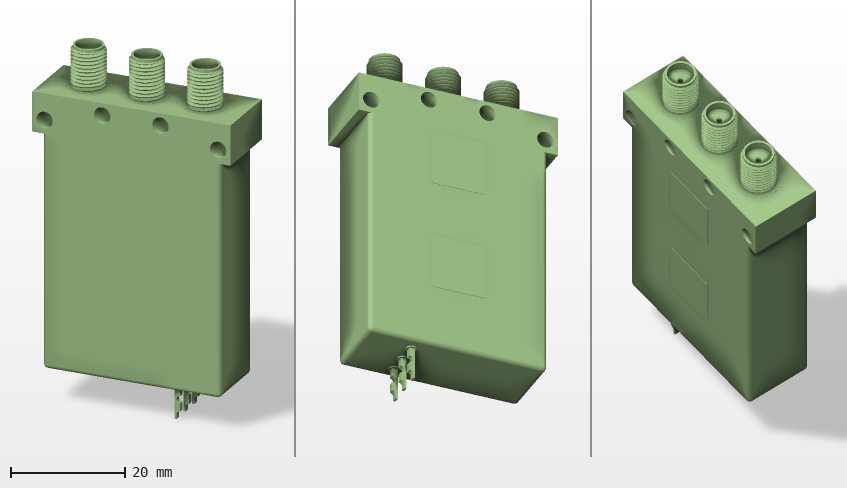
import cadquery as cq

HEADER_WIDTH = 38.1
DEPTH = 13.25
HEADER_HEIGHT = 7.6
CAN_WIDTH = 34.1
CAN_HEIGHT = 44.5
CAN_EDGE_RADIUS = 0.8
TOTAL_HEIGHT = 66.25

HEADER_TOP = HEADER_HEIGHT
CAN_BOTTOM = -CAN_HEIGHT

HOLE_DIAMETER = 3.1
OUTER_HOLE_SPACING = 33.3
OUTER_HOLE_DROP = 5.05
INNER_HOLE_DROP = 2.3

CONNECTOR_PITCH = 11.2
CONNECTOR_HEIGHT = 7.8
FLANGE_RADIUS = 3.85
FLANGE_HEIGHT = 0.03
THREAD_RADIUS = 3.2
THREAD_ROOT_RADIUS = 2.7
THREAD_CREST = 0.1
GROOVE_OVERSHOOT = 0.05
THREAD_CHAMFER = 0.3
LEAD_RADIUS = 2.8
LEAD_LENGTH = 0.5
THREAD_LENGTH = CONNECTOR_HEIGHT - LEAD_LENGTH
THREAD_TURNS = 10.4
THREAD_PITCH = THREAD_LENGTH / THREAD_TURNS
BORE_RADIUS = 2.4
BORE_DEPTH = 1.7
INSULATOR_RADIUS = 2.1
INSULATOR_DEPTH = 1.9
CONTACT_HOLE_RADIUS = 0.45
CONTACT_CHAMFER = 0.2
CONTACT_HOLE_DEPTH = 2.0

TERMINAL_X = 7.75
TERMINAL_PITCH = 3.8
TERMINAL_LENGTH = TOTAL_HEIGHT - CONNECTOR_HEIGHT - HEADER_HEIGHT - CAN_HEIGHT
TERMINAL_WIDTH = 1.05
TIP_WIDTH = 0.4
NOTCH_RADIUS = TERMINAL_WIDTH - TIP_WIDTH
NOTCH_DROP = 2.5
SHOULDER_DROP = 4.8
COLLAR_RADIUS = 1.0
COLLAR_HEIGHT = 0.25

PAD_SIZE = 10.35
PAD_THICKNESS = 0.05
PAD_PITCH = 21.2
UPPER_PAD_DROP = 1.2


def thread_groove():
    """Helical V-groove that runs past both ends of the thread."""
    run = THREAD_LENGTH + 2 * THREAD_PITCH
    half_opening = (THREAD_PITCH - THREAD_CREST) / 2
    half_outer = half_opening * (1 + GROOVE_OVERSHOOT / (THREAD_RADIUS - THREAD_ROOT_RADIUS))
    outer_radius = THREAD_RADIUS + GROOVE_OVERSHOOT
    path = cq.Workplane(cq.Wire.makeHelix(THREAD_PITCH, run, THREAD_ROOT_RADIUS))
    return (
        cq.Workplane("XZ")
        .moveTo(THREAD_ROOT_RADIUS, 0)
        .lineTo(outer_radius, half_outer)
        .lineTo(outer_radius, -half_outer)
        .close()
        .sweep(path, isFrenet=True)
        .translate((0, 0, -THREAD_PITCH))
    )


def make_connector():
    """Threaded barrel with its flange, standing on the plane Z = 0."""
    rod = cq.Workplane("XY").circle(THREAD_RADIUS).extrude(THREAD_LENGTH)
    envelope = rod.faces(">Z").chamfer(THREAD_CHAMFER)
    thread = rod.cut(thread_groove()).intersect(envelope)
    flange = cq.Workplane("XY").circle(FLANGE_RADIUS).extrude(FLANGE_HEIGHT)
    lead = cq.Workplane("XY").workplane(offset=THREAD_LENGTH).circle(LEAD_RADIUS).extrude(LEAD_LENGTH)
    barrel = thread.union(lead).union(flange)

    insulator_z = CONNECTOR_HEIGHT - INSULATOR_DEPTH
    contact_bottom = insulator_z - CONTACT_HOLE_DEPTH
    socket = (
        cq.Workplane("XZ")
        .moveTo(0, CONNECTOR_HEIGHT)
        .lineTo(BORE_RADIUS, CONNECTOR_HEIGHT)
        .lineTo(BORE_RADIUS, CONNECTOR_HEIGHT - BORE_DEPTH)
        .lineTo(INSULATOR_RADIUS, insulator_z)
        .lineTo(CONTACT_HOLE_RADIUS + CONTACT_CHAMFER, insulator_z)
        .lineTo(CONTACT_HOLE_RADIUS, insulator_z - CONTACT_CHAMFER)
        .lineTo(CONTACT_HOLE_RADIUS, contact_bottom)
        .lineTo(0, contact_bottom)
        .close()
        .revolve(360, (0, 0, 0), (0, 1, 0))
    )
    return barrel.cut(socket)


def make_header():
    """Mounting block with four cross holes and three connectors on top."""
    block = cq.Workplane("XY").box(HEADER_WIDTH, DEPTH, HEADER_HEIGHT, centered=(True, True, False))
    hole_centers = []
    for side in (-1, 1):
        hole_centers.append((side * OUTER_HOLE_SPACING / 2, HEADER_TOP - OUTER_HOLE_DROP))
        hole_centers.append((side * CONNECTOR_PITCH / 2, HEADER_TOP - INNER_HOLE_DROP))
    holes = (
        cq.Workplane("XZ")
        .pushPoints(hole_centers)
        .circle(HOLE_DIAMETER / 2)
        .extrude(DEPTH / 2, both=True)
    )
    header = block.cut(holes)
    connector = make_connector()
    for position in (-1, 0, 1):
        header = header.union(connector.translate((position * CONNECTOR_PITCH, 0, HEADER_TOP)))
    return header


def make_terminal():
    """Square solder lug and collar, with a round notch and a narrow tip, hanging below Z = 0."""
    half = TERMINAL_WIDTH / 2
    tip_x = TIP_WIDTH - half
    lug = (
        cq.Workplane("XZ")
        .moveTo(-half, 0)
        .lineTo(half, 0)
        .lineTo(half, -NOTCH_DROP + NOTCH_RADIUS)
        .threePointArc((tip_x, -NOTCH_DROP), (half, -NOTCH_DROP - NOTCH_RADIUS))
        .lineTo(half, -SHOULDER_DROP)
        .radiusArc((tip_x, -SHOULDER_DROP - NOTCH_RADIUS), -NOTCH_RADIUS)
        .lineTo(tip_x, -TERMINAL_LENGTH)
        .lineTo(-half, -TERMINAL_LENGTH)
        .close()
        .extrude(half, both=True)
    )
    collar = cq.Workplane("XY").circle(COLLAR_RADIUS).extrude(-COLLAR_HEIGHT)
    return lug.union(collar)


def make_can():
    """Rounded can with the terminals under it and the pads on its back."""
    can = (
        cq.Workplane("XY")
        .box(CAN_WIDTH, DEPTH, CAN_HEIGHT, centered=(True, True, False))
        .translate((0, 0, CAN_BOTTOM))
        .edges("|Z or <Z")
        .fillet(CAN_EDGE_RADIUS)
    )
    terminal = make_terminal()
    for row in (-1, 0, 1):
        can = can.union(terminal.translate((TERMINAL_X, row * TERMINAL_PITCH, CAN_BOTTOM)))
    pad = (
        cq.Workplane("XY")
        .box(PAD_SIZE, PAD_THICKNESS, PAD_SIZE, centered=(True, False, False))
        .translate((0, DEPTH / 2, -UPPER_PAD_DROP - PAD_SIZE))
    )
    for index in range(2):
        can = can.union(pad.translate((0, 0, -index * PAD_PITCH)))
    return can


header = make_header()
can = make_can()
result = cq.Compound.makeCompound([header.val(), can.val()])